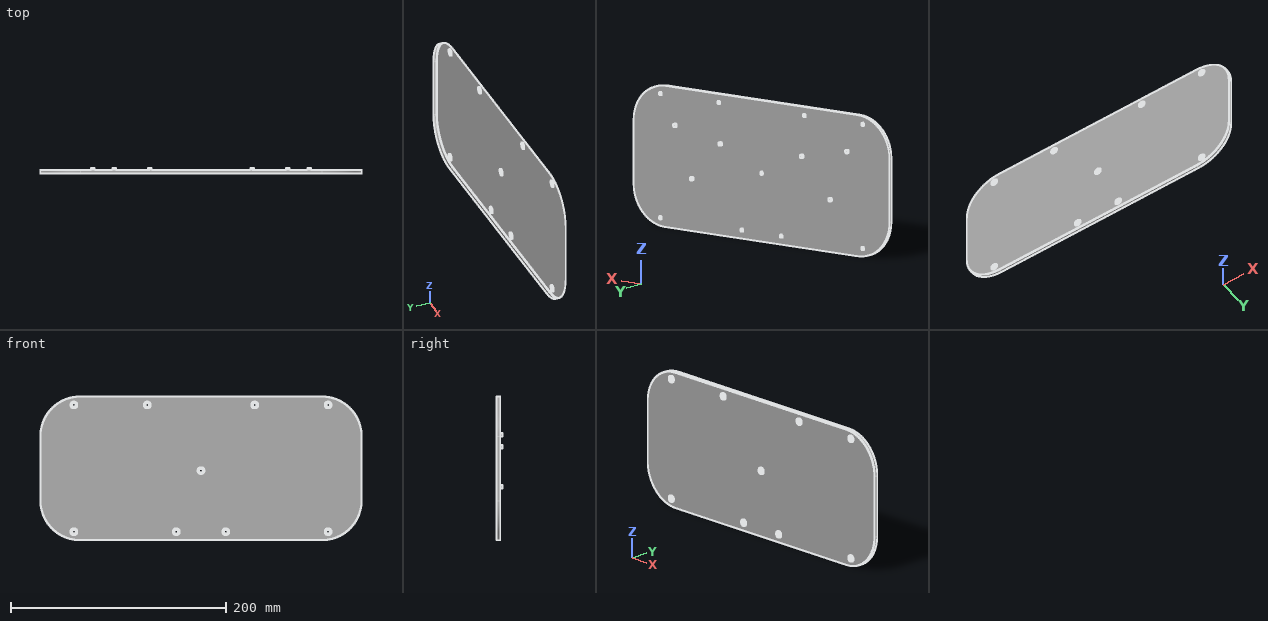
import cadquery as cq

plate_length = 299.0
plate_height = 134.0
overall_depth = 5.7
pin_height = 1.95
plate_thickness = overall_depth - pin_height
corner_radius = 37.0
front_chamfer = 0.45

recess_diameter = 6.5
recess_depth = 0.5
counterbore_diameter = 5.5
counterbore_depth = 1.8
hole_diameter = 3.3
corner_hole_x = 118.0
upper_hole_x = 50.0
lower_hole_x = 23.0
hole_row_z = 59.0
middle_hole_z = -2.0

pin_diameter = 3.5
pin_chamfer = 0.45
pin_group = [(100.5, 31.0), (80.7, -17.0), (47.5, 20.0)]

hole_points = [(0, middle_hole_z)]
pin_points = []
for side in (-1, 1):
    hole_points += [
        (side * corner_hole_x, hole_row_z),
        (side * corner_hole_x, -hole_row_z),
        (side * upper_hole_x, hole_row_z),
        (side * lower_hole_x, -hole_row_z),
    ]
    pin_points += [(side * x, z) for x, z in pin_group]


def cylinders(points, diameter, length, start_y=0):
    """Equal cylinders at the given (x, z) points, running towards +Y from start_y."""
    return (
        cq.Workplane("XZ", origin=(0, start_y, 0))
        .pushPoints(points)
        .circle(diameter / 2)
        .extrude(-length)
    )


def make_plate():
    """Rounded plate with its front rim chamfered."""
    return (
        cq.Workplane("XZ")
        .rect(plate_length, plate_height)
        .extrude(-plate_thickness)
        .edges("|Y")
        .fillet(corner_radius)
        .faces("<Y")
        .edges()
        .chamfer(front_chamfer)
    )


def drill_holes(plate):
    """Cut the three steps of every screw hole from the front face."""
    return (
        plate.cut(cylinders(hole_points, recess_diameter, recess_depth))
        .cut(cylinders(hole_points, counterbore_diameter, counterbore_depth))
        .cut(cylinders(hole_points, hole_diameter, plate_thickness))
    )


def make_pins():
    """Pins standing on the back face, chamfered at their free ends."""
    pins = cylinders(pin_points, pin_diameter, pin_height, plate_thickness)
    return pins.faces(">Y").edges().chamfer(pin_chamfer)


result = drill_holes(make_plate()).union(make_pins())